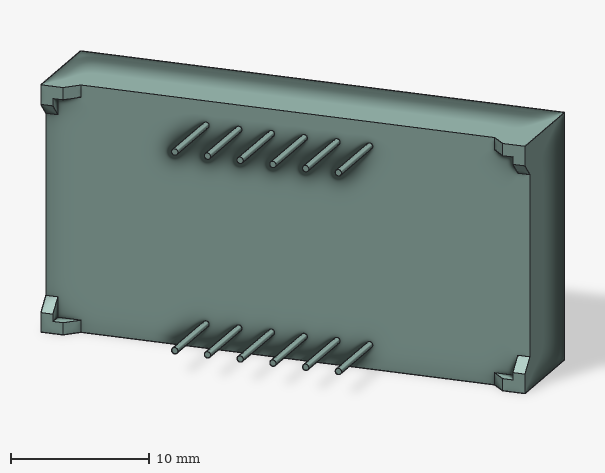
import cadquery as cq

LENGTH = 37.6
HEIGHT = 19.0
DEPTH_WITH_FEET = 8.0
FOOT_RISE = DEPTH_WITH_FEET / 8
BODY_DEPTH = DEPTH_WITH_FEET - FOOT_RISE

FOOT_WALL = 0.95
FOOT_FLAT_X = 1.73
FOOT_FLAT_Z = 1.5

TOTAL_DEPTH = 13.3
PIN_LENGTH = TOTAL_DEPTH - BODY_DEPTH
PIN_DIAMETER = 0.5
PINS_PER_ROW = 6
ROW_LENGTH = 12.7
PIN_PITCH = ROW_LENGTH / (PINS_PER_ROW - 1)
ROW_SPACING = 6 * PIN_PITCH
ROW_COUNT = 2


def make_body():
    """Block whose pin face lies on Y = 0, with the depth along +Y."""
    return cq.Workplane("XY").box(LENGTH, BODY_DEPTH, HEIGHT, centered=(True, False, True))


def foot_profile(plane, flat):
    """Outline of one foot arm: flat at the corner, then a 45 degree slope down to the face."""
    return (
        cq.Workplane(plane)
        .moveTo(0, 0)
        .lineTo(0, -FOOT_RISE)
        .lineTo(flat, -FOOT_RISE)
        .lineTo(flat + FOOT_RISE, 0)
        .close()
    )


def make_foot():
    """Foot for the -X, -Z corner."""
    arm_along_x = foot_profile("XY", FOOT_FLAT_X).extrude(FOOT_WALL)
    upright = cq.Plane(origin=(0, 0, 0), xDir=(0, 0, 1), normal=(-1, 0, 0))
    arm_along_z = foot_profile(upright, FOOT_FLAT_Z).extrude(-FOOT_WALL)
    return arm_along_x.union(arm_along_z).translate((-LENGTH / 2, 0, -HEIGHT / 2))


def make_feet():
    """Mirror the single foot to all four corners."""
    foot = make_foot()
    lower_pair = foot.union(foot.mirror("YZ"))
    return lower_pair.union(lower_pair.mirror("XY"))


def make_pins():
    """Pins standing out of the face toward -Y."""
    return (
        cq.Workplane("XZ")
        .rarray(PIN_PITCH, ROW_SPACING, PINS_PER_ROW, ROW_COUNT)
        .circle(PIN_DIAMETER / 2)
        .extrude(PIN_LENGTH)
    )


result = make_body().union(make_feet()).union(make_pins())